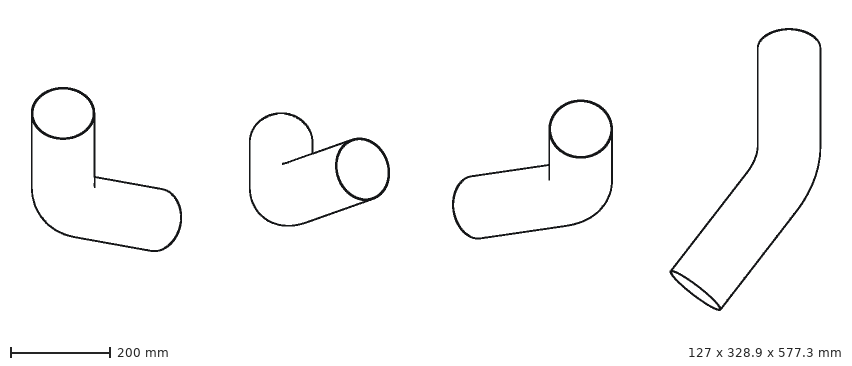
import cadquery as cq
import math

outer_diameter = 127.0
inner_diameter = 122.78
leg_length = 254.0
bend_radius = 139.7
bend_angle = 45.0


def point_on_bend(angle):
    """Centreline point (Y, Z) at an angle in degrees past the start of the bend."""
    a = math.radians(angle)
    return (bend_radius * (1 - math.cos(a)), -bend_radius * math.sin(a))


def make_centreline():
    """Vertical leg down to the origin, bend towards +Y, then the sloping leg."""
    a = math.radians(bend_angle)
    bend_end_y, bend_end_z = point_on_bend(bend_angle)
    leg_end = (bend_end_y + leg_length * math.sin(a), bend_end_z - leg_length * math.cos(a))
    return (
        cq.Workplane("YZ")
        .moveTo(0, leg_length)
        .lineTo(0, 0)
        .threePointArc(point_on_bend(bend_angle / 2), (bend_end_y, bend_end_z))
        .lineTo(*leg_end)
    )


result = (
    cq.Workplane("XY", origin=(0, 0, leg_length))
    .circle(outer_diameter / 2)
    .circle(inner_diameter / 2)
    .sweep(make_centreline())
)